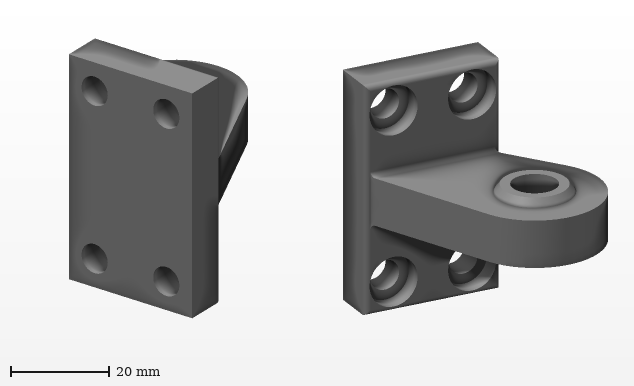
import cadquery as cq
import math

PLATE_WIDTH = 31.0
PLATE_HEIGHT = 51.0
PLATE_THICKNESS = 10.0
PLATE_EDGE_RADIUS = 1.3

HOLE_SPACING_X = 18.0
HOLE_SPACING_Z = 38.0
HOLE_DIAMETER = 6.6
COUNTERBORE_DIAMETER = 11.0
COUNTERBORE_DEPTH = 4.0

EYE_X = -12.0
EYE_Y = 32.0
EYE_RADIUS = 15.0
LUG_THICKNESS = 10.5
LUG_ROOT_HALF_WIDTH = 14.3
ROOT_FILLET_RADIUS = 1.1

BUSH_LENGTH = 14.0
BUSH_BASE_DIAMETER = 17.0
BUSH_END_DIAMETER = 14.3
BORE_DIAMETER = 10.0


def eye_tangent_point(root_x, side):
    """Point where a line from the lug root touches the eye; side is +1 (right) or -1 (left)."""
    dx = root_x - EYE_X
    dy = PLATE_THICKNESS - EYE_Y
    toward_root = math.atan2(dy, dx)
    half_angle = math.acos(EYE_RADIUS / math.hypot(dx, dy))
    angle = toward_root + side * half_angle
    return (EYE_X + EYE_RADIUS * math.cos(angle), EYE_Y + EYE_RADIUS * math.sin(angle))


def lug_prism(thickness):
    """Lug outline extruded symmetrically about Z = 0."""
    right_tangent = eye_tangent_point(LUG_ROOT_HALF_WIDTH, 1)
    left_tangent = eye_tangent_point(-LUG_ROOT_HALF_WIDTH, -1)
    return (
        cq.Workplane("XY")
        .moveTo(-LUG_ROOT_HALF_WIDTH, PLATE_THICKNESS)
        .lineTo(LUG_ROOT_HALF_WIDTH, PLATE_THICKNESS)
        .lineTo(*right_tangent)
        .threePointArc((EYE_X, EYE_Y + EYE_RADIUS), left_tangent)
        .close()
        .extrude(thickness / 2, both=True)
    )


def make_plate():
    plate = (
        cq.Workplane("XY")
        .box(PLATE_WIDTH, PLATE_THICKNESS, PLATE_HEIGHT)
        .translate((0, PLATE_THICKNESS / 2, 0))
    )
    plate = plate.faces(">Y").edges().fillet(PLATE_EDGE_RADIUS)
    return (
        plate.faces(">Y")
        .workplane(origin=(0, PLATE_THICKNESS, 0))
        .rarray(HOLE_SPACING_X, HOLE_SPACING_Z, 2, 2)
        .cboreHole(HOLE_DIAMETER, COUNTERBORE_DIAMETER, COUNTERBORE_DEPTH)
    )


def make_lug():
    """Lug with concave root fillets on its upper and lower faces, trimmed to the lug's sides."""
    lug = lug_prism(LUG_THICKNESS)
    fillet_end_y = PLATE_THICKNESS + ROOT_FILLET_RADIUS
    face_z = LUG_THICKNESS / 2
    flare_z = face_z + ROOT_FILLET_RADIUS
    arc_offset = ROOT_FILLET_RADIUS * (1 - math.sqrt(0.5))
    upper_fillet = (
        cq.Workplane("YZ")
        .moveTo(PLATE_THICKNESS, face_z)
        .lineTo(fillet_end_y, face_z)
        .threePointArc((PLATE_THICKNESS + arc_offset, face_z + arc_offset), (PLATE_THICKNESS, flare_z))
        .close()
        .extrude(PLATE_WIDTH / 2, both=True)
        .intersect(lug_prism(2 * flare_z))
    )
    return lug.union(upper_fillet).union(upper_fillet.mirror("XY"))


def make_bush():
    """Bush body with a truncated cone standing proud of each lug face."""
    face_z = LUG_THICKNESS / 2
    end_z = BUSH_LENGTH / 2
    base_radius = BUSH_BASE_DIAMETER / 2
    end_radius = BUSH_END_DIAMETER / 2
    return (
        cq.Workplane("XZ")
        .polyline([
            (0, -end_z),
            (end_radius, -end_z),
            (base_radius, -face_z),
            (base_radius, face_z),
            (end_radius, end_z),
            (0, end_z),
        ])
        .close()
        .revolve(360, (0, 0, 0), (0, 1, 0))
        .translate((EYE_X, EYE_Y, 0))
    )


bore = (
    cq.Workplane("XY")
    .center(EYE_X, EYE_Y)
    .circle(BORE_DIAMETER / 2)
    .extrude(BUSH_LENGTH, both=True)
)

result = make_plate().union(make_lug()).union(make_bush()).cut(bore)